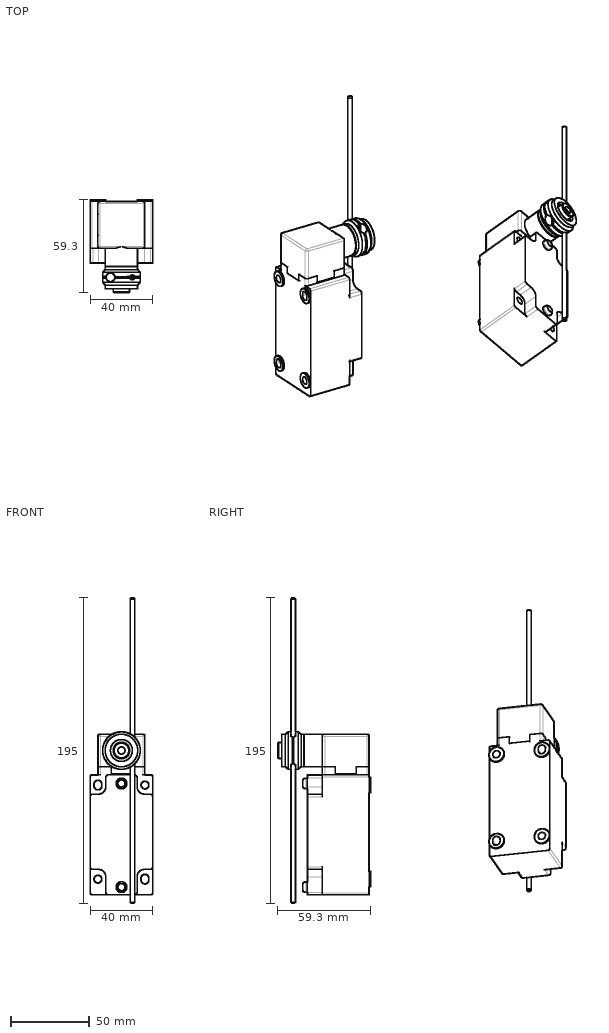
import cadquery as cq


HOUSING_WIDTH = 40.0
HOUSING_HEIGHT = 76.5
HOUSING_DEPTH = 39.4
FLANGE_DEPTH = 30.0
EDGE_RADIUS = 1.2
PAD_WIDTH = 20.0
TOP_RECESS = 12.3
BOTTOM_RECESS = 16.2
RECESS_RADIUS = 4.7
RECESS_LIP_RADIUS = 1.7

HOLE_SPACING_X = 30.0
HOLE_SPACING_Z = 60.0
LOWER_HOLE_Z = 10.0
HOLE_DIAMETER = 4.8
SLOT_HEIGHT = 6.0
FOOT_DIAMETER = 10.0
FOOT_HEIGHT = 1.1

SCREW_HEIGHTS = (4.9, 71.0)
SCREW_RADIUS = 3.4
SCREW_RIM_HEIGHT = 1.1
SCREW_HEIGHT = 3.0
SCREW_TOP_RADIUS = 2.3
SCREW_BULGE = (3.15, 2.2)

HEAD_WIDTH = 30.0
HEAD_DEPTH = FLANGE_DEPTH
HEAD_CORNER_RADIUS = 1.5
HEAD_TOP_RADIUS = 1.2
SHAFT_Z = 92.05
BOSS_RADIUS = 10.4
TONGUE_WIDTH = 13.3
SEAT_STEP = 0.6
BOSS_END = 41.3

CLAMP_CENTRE = 48.5
CLAMP_GAP = 1.0
CLAMP_RADIUS = 12.0
CLAMP_RIM_HALF = 3.2
CLAMP_CHAMFER_LENGTH = 1.8
CLAMP_FRONT = 55.8
HUB_GAP = 0.3
HUB_GROOVE_RADIUS = 10.1
BOLT_RADIUS = 3.8
BOLT_HEAD_RADIUS = 5.25
BOLT_HEAD_CHAMFER = 0.5
BOLT_FRONT = 58.2
BOLT_SOCKET_DIAMETER = 4.6
BOLT_SOCKET_DEPTH = 2.0
COUNTERBORE_RADIUS = 7.0
COUNTERBORE_DEPTH = 2.0
SPARE_HOLE_DIAMETER = 5.5

ROD_X = 7.0
ROD_DIAMETER = 3.0
ROD_LENGTH = 195.0
ROD_BOTTOM = -5.5
ROD_TIP_CHAMFER = 0.9

POST_TOP = SHAFT_Z - BOSS_RADIUS
HEAD_TOP = SHAFT_Z + BOSS_RADIUS
SEAT_Z = HOUSING_HEIGHT + SEAT_STEP


def block(width, depth, bottom, top, front_shift=0.0):
    """Box centred on X, its back at Y = -front_shift."""
    height = top - bottom
    return (
        cq.Workplane("XY", origin=(0, -front_shift - depth / 2, bottom))
        .box(width, depth, height, centered=(True, True, False))
    )


def front_sketch(depth, x=0.0, z=0.0):
    """Sketch plane facing the front at a given depth."""
    return cq.Workplane("XZ", origin=(x, -depth, z))


def turned(profile):
    """Turn (radius, depth) points about the lever axis."""
    points = [(radius, -depth) for radius, depth in profile]
    return (
        cq.Workplane("XY")
        .polyline(points)
        .close()
        .revolve(360, (0, 0, 0), (0, 1, 0))
        .translate((0, 0, SHAFT_Z))
    )


def head_column(bottom, top):
    """Column with the rounded footprint shared by the head and its seat."""
    return block(HEAD_WIDTH, HEAD_DEPTH, bottom, top).edges("|Z").fillet(HEAD_CORNER_RADIUS)


def tongue_cross():
    """Cross of two arms reaching from the seat up to the top of the corner posts."""
    across = block(HEAD_WIDTH, TONGUE_WIDTH, SEAT_Z, POST_TOP, (HEAD_DEPTH - TONGUE_WIDTH) / 2)
    along = block(TONGUE_WIDTH, HEAD_DEPTH, SEAT_Z, POST_TOP)
    return across.union(along)


def corner_recess(side, is_top):
    """Cutter for one front corner, with a concave inner corner and rounded lips."""
    height = TOP_RECESS if is_top else BOTTOM_RECESS
    end_z = HOUSING_HEIGHT if is_top else 0.0
    inward = -1 if is_top else 1
    lip = RECESS_LIP_RADIUS
    bend = RECESS_RADIUS
    inner_x = PAD_WIDTH / 2
    outer_x = HOUSING_WIDTH / 2

    def at(x, distance):
        return (side * x, end_z + inward * distance)

    def bulge(centre_x, centre_distance, radius, x_sign, z_sign):
        diagonal = radius / 2 ** 0.5
        return at(centre_x + x_sign * diagonal, centre_distance + z_sign * diagonal)

    return (
        front_sketch(FLANGE_DEPTH)
        .moveTo(*at(inner_x - lip, 0))
        .threePointArc(bulge(inner_x - lip, lip, lip, 1, -1), at(inner_x, lip))
        .lineTo(*at(inner_x, height - bend))
        .threePointArc(bulge(inner_x + bend, height - bend, bend, -1, 1), at(inner_x + bend, height))
        .lineTo(*at(outer_x - lip, height))
        .threePointArc(bulge(outer_x - lip, height + lip, lip, 1, -1), at(outer_x, height + lip))
        .lineTo(*at(outer_x, 0))
        .close()
        .extrude(HOUSING_DEPTH - FLANGE_DEPTH)
    )


def cover_screw(z):
    """Screw head with a straight rim and a rounded shoulder on the front face."""
    bulge_radius, bulge_height = SCREW_BULGE
    return (
        cq.Workplane("XY")
        .lineTo(SCREW_RADIUS, 0)
        .lineTo(SCREW_RADIUS, -SCREW_RIM_HEIGHT)
        .threePointArc((bulge_radius, -bulge_height), (SCREW_TOP_RADIUS, -SCREW_HEIGHT))
        .lineTo(0, -SCREW_HEIGHT)
        .close()
        .revolve(360, (0, 0, 0), (0, 1, 0))
        .translate((0, -HOUSING_DEPTH, z))
    )


def mounting_hole(x, z, is_slot):
    """Through cutter: a round hole, or an upright slot."""
    sketch = front_sketch(-FOOT_HEIGHT, x, z)
    if is_slot:
        outline = sketch.slot2D(SLOT_HEIGHT, HOLE_DIAMETER, 90)
    else:
        outline = sketch.circle(HOLE_DIAMETER / 2)
    return outline.extrude(HOUSING_DEPTH + FOOT_HEIGHT)


def make_housing():
    body = block(HOUSING_WIDTH, HOUSING_DEPTH, 0, HOUSING_HEIGHT).edges("|Y").fillet(EDGE_RADIUS)
    for side in (-1, 1):
        for is_top in (False, True):
            body = body.cut(corner_recess(side, is_top))

    seat = head_column(HOUSING_HEIGHT, POST_TOP).cut(tongue_cross())
    body = body.union(seat)

    for z in SCREW_HEIGHTS:
        body = body.union(cover_screw(z))

    for side in (-1, 1):
        for is_top in (False, True):
            x = side * HOLE_SPACING_X / 2
            z = LOWER_HOLE_Z + (HOLE_SPACING_Z if is_top else 0)
            foot = front_sketch(-FOOT_HEIGHT, x, z).circle(FOOT_DIAMETER / 2).extrude(FOOT_HEIGHT)
            is_slot = (side < 0) == is_top
            body = body.union(foot).cut(mounting_hole(x, z, is_slot))
    return body


def make_head():
    cap = head_column(POST_TOP, HEAD_TOP).faces(">Z").edges().fillet(HEAD_TOP_RADIUS)
    tongue = head_column(SEAT_Z, POST_TOP).intersect(tongue_cross())
    boss_start = HEAD_DEPTH - HEAD_TOP_RADIUS
    boss = turned([
        (0, boss_start),
        (BOSS_RADIUS, boss_start),
        (BOSS_RADIUS, BOSS_END),
        (0, BOSS_END),
    ])
    return cap.union(tongue).union(boss)


SPLIT_REAR = CLAMP_CENTRE - CLAMP_GAP / 2
SPLIT_FRONT = CLAMP_CENTRE + CLAMP_GAP / 2
RIM_REAR = CLAMP_CENTRE - CLAMP_RIM_HALF
RIM_FRONT = CLAMP_CENTRE + CLAMP_RIM_HALF
COUNTERBORE_FLOOR = CLAMP_FRONT - COUNTERBORE_DEPTH


def upright_hole(x, diameter):
    """Cutter parallel to Z through the clamp at the split."""
    return (
        cq.Workplane("XY", origin=(x, -CLAMP_CENTRE, SHAFT_Z - CLAMP_RADIUS))
        .circle(diameter / 2)
        .extrude(2 * CLAMP_RADIUS)
    )


def drill_clamp(body):
    """Cut the rod hole and the spare hole."""
    return body.cut(upright_hole(ROD_X, ROD_DIAMETER)).cut(upright_hole(-ROD_X, SPARE_HOLE_DIAMETER))


def make_lever_hub():
    """Rear clamp half with the bolt that carries the front half."""
    hub = turned([
        (0, BOSS_END),
        (HUB_GROOVE_RADIUS, BOSS_END),
        (HUB_GROOVE_RADIUS, BOSS_END + HUB_GAP),
        (BOSS_RADIUS, BOSS_END + HUB_GAP),
        (BOSS_RADIUS, RIM_REAR - CLAMP_CHAMFER_LENGTH),
        (CLAMP_RADIUS, RIM_REAR),
        (CLAMP_RADIUS, SPLIT_REAR),
        (BOLT_RADIUS, SPLIT_REAR),
        (BOLT_RADIUS, COUNTERBORE_FLOOR),
        (BOLT_HEAD_RADIUS, COUNTERBORE_FLOOR),
        (BOLT_HEAD_RADIUS, BOLT_FRONT - BOLT_HEAD_CHAMFER),
        (BOLT_HEAD_RADIUS - BOLT_HEAD_CHAMFER, BOLT_FRONT),
        (0, BOLT_FRONT),
    ])
    socket = (
        front_sketch(BOLT_FRONT - BOLT_SOCKET_DEPTH, z=SHAFT_Z)
        .circle(BOLT_SOCKET_DIAMETER / 2)
        .extrude(BOLT_SOCKET_DEPTH)
    )
    return drill_clamp(hub).cut(socket)


def make_clamp_front():
    """Front clamp half, counterbored for the bolt head."""
    disc = turned([
        (BOLT_RADIUS, SPLIT_FRONT),
        (CLAMP_RADIUS, SPLIT_FRONT),
        (CLAMP_RADIUS, RIM_FRONT),
        (BOSS_RADIUS, RIM_FRONT + CLAMP_CHAMFER_LENGTH),
        (BOSS_RADIUS, CLAMP_FRONT),
        (COUNTERBORE_RADIUS, CLAMP_FRONT),
        (COUNTERBORE_RADIUS, COUNTERBORE_FLOOR),
        (BOLT_RADIUS, COUNTERBORE_FLOOR),
    ])
    return drill_clamp(disc)


def make_rod():
    return (
        cq.Workplane("XY", origin=(ROD_X, -CLAMP_CENTRE, ROD_BOTTOM))
        .circle(ROD_DIAMETER / 2)
        .extrude(ROD_LENGTH)
        .faces("<Z or >Z")
        .edges()
        .chamfer(ROD_TIP_CHAMFER)
    )


housing = make_housing()
head = make_head()
lever_hub = make_lever_hub()
clamp_front = make_clamp_front()
rod = make_rod()

result = cq.Compound.makeCompound([
    housing.val(),
    head.val(),
    lever_hub.val(),
    clamp_front.val(),
    rod.val(),
])